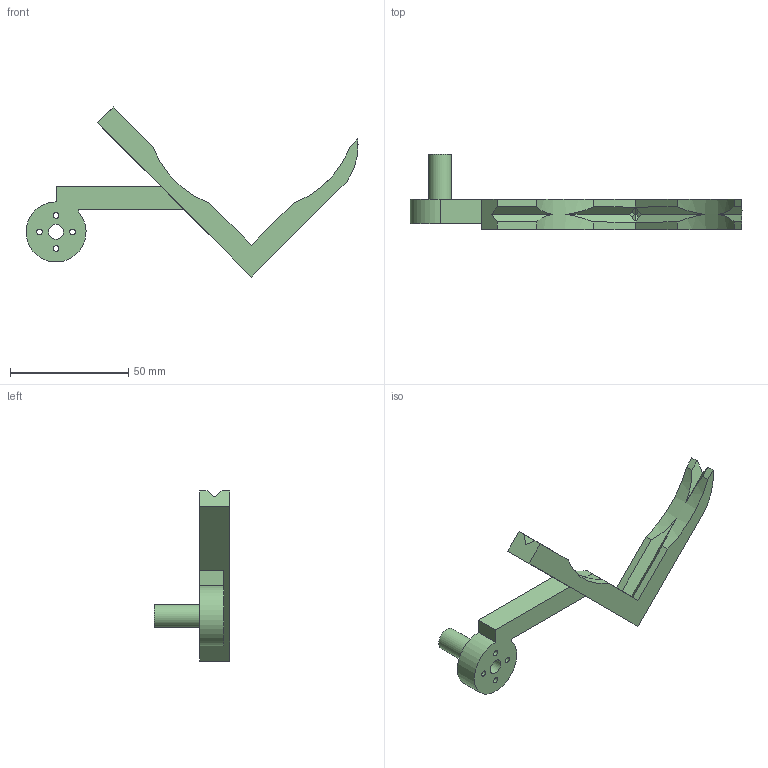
import cadquery as cq
import math

INCH = 25.4

hub_radius = 0.5 * INCH
hub_thickness = 0.4 * INCH
bore_diameter = 0.25 * INCH
pin_diameter = 0.375 * INCH
pin_length = 0.75 * INCH
screw_hole_diameter = 2.4
screw_circle_radius = 7.0
screw_hole_count = 4

bar_height = 0.375 * INCH
bar_top = 0.75 * INCH
post_width = bar_height

v_width = 0.5 * INCH
arm_thickness = 0.375 * INCH
corner_x = 3.25 * INCH
corner_z = -0.75 * INCH
left_arm_length = 3.625 * INCH
right_arm_length = 2.875 * INCH
right_tip_start = 2.25 * INCH
right_tip_radius = 1.0625 * INCH

relief_center = 51.5
relief_chord = 34.0
relief_radius = 41.0

groove_width = 0.25 * INCH
groove_depth = 3.5
groove_overrun = 4.0

LEFT = -1
RIGHT = 1


def on_arm(side, along, height):
    """XZ point at a distance along an arm and a height above its outer face."""
    x = corner_x + side * (along - height) * math.sqrt(0.5)
    z = corner_z + (along + height) * math.sqrt(0.5)
    return (x, z)


def sagitta(radius, chord):
    return radius - math.sqrt(radius**2 - (chord / 2) ** 2)


def make_v():
    relief_low = relief_center - relief_chord / 2
    relief_high = relief_center + relief_chord / 2
    relief_floor = arm_thickness - sagitta(relief_radius, relief_chord)

    tip_run = right_arm_length - right_tip_start
    tip_chord = math.hypot(tip_run, arm_thickness)
    tip_bulge = sagitta(right_tip_radius, tip_chord)
    tip_middle = (
        right_tip_start + tip_run / 2 + tip_bulge * arm_thickness / tip_chord,
        arm_thickness / 2 - tip_bulge * tip_run / tip_chord,
    )

    outline = (
        cq.Workplane("XZ")
        .moveTo(*on_arm(LEFT, 0, 0))
        .lineTo(*on_arm(LEFT, left_arm_length, 0))
        .lineTo(*on_arm(LEFT, left_arm_length, arm_thickness))
        .lineTo(*on_arm(LEFT, relief_high, arm_thickness))
        .threePointArc(
            on_arm(LEFT, relief_center, relief_floor),
            on_arm(LEFT, relief_low, arm_thickness),
        )
        .lineTo(*on_arm(LEFT, arm_thickness, arm_thickness))
        .lineTo(*on_arm(RIGHT, relief_low, arm_thickness))
        .threePointArc(
            on_arm(RIGHT, relief_center, relief_floor),
            on_arm(RIGHT, relief_high, arm_thickness),
        )
        .lineTo(*on_arm(RIGHT, right_arm_length, arm_thickness))
        .threePointArc(
            on_arm(RIGHT, *tip_middle),
            on_arm(RIGHT, right_tip_start, 0),
        )
        .close()
    )
    return outline.extrude(v_width)


def make_groove_cutter(side, arm_length):
    """Triangular prism along an arm, starting a little below the inner corner."""
    start = arm_thickness - groove_overrun
    start_x, start_z = on_arm(side, start, arm_thickness)
    section_plane = cq.Plane(
        origin=(start_x, -v_width / 2, start_z),
        xDir=(side, 0, -1),
        normal=(side, 0, 1),
    )
    return (
        cq.Workplane(section_plane)
        .moveTo(0, -groove_width / 2)
        .lineTo(groove_depth, 0)
        .lineTo(0, groove_width / 2)
        .close()
        .extrude(arm_length - start)
    )


def make_hub_and_bar():
    hub = cq.Workplane("XZ").circle(hub_radius).extrude(hub_thickness)
    bar_bottom = bar_top - bar_height
    end_top_x = corner_x - (bar_top - corner_z)
    end_bottom_x = corner_x - (bar_bottom - corner_z)
    bar = (
        cq.Workplane("XZ")
        .moveTo(0, 0)
        .lineTo(0, bar_top)
        .lineTo(end_top_x, bar_top)
        .lineTo(end_bottom_x, bar_bottom)
        .lineTo(post_width, bar_bottom)
        .lineTo(post_width, 0)
        .close()
        .extrude(hub_thickness)
    )
    pin = cq.Workplane("XZ").circle(pin_diameter / 2).extrude(-pin_length)
    return hub.union(bar).union(pin)


def make_hub_holes():
    bore = (
        cq.Workplane("XZ", origin=(0, pin_length, 0))
        .circle(bore_diameter / 2)
        .extrude(pin_length + hub_thickness)
    )
    screw_holes = (
        cq.Workplane("XZ")
        .polarArray(screw_circle_radius, 0, 360, screw_hole_count)
        .circle(screw_hole_diameter / 2)
        .extrude(hub_thickness)
    )
    return bore.union(screw_holes)


v_arms = make_v()
for side, arm_length in ((LEFT, left_arm_length), (RIGHT, right_arm_length)):
    v_arms = v_arms.cut(make_groove_cutter(side, arm_length))

result = v_arms.union(make_hub_and_bar()).cut(make_hub_holes())